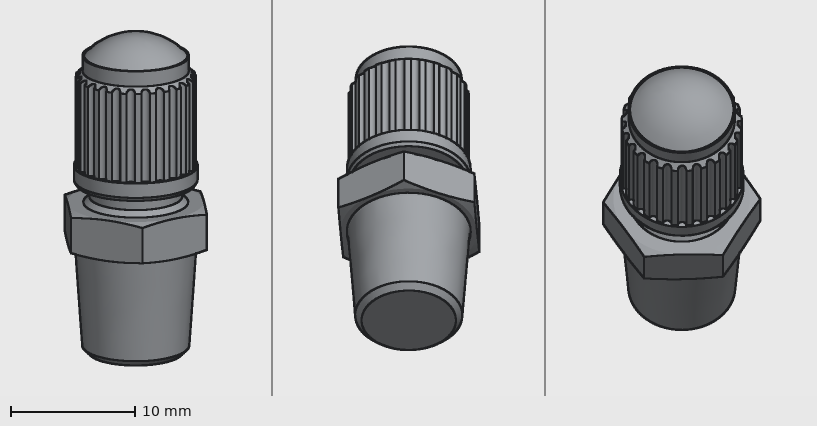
import cadquery as cq
import math

plug_tip_dia = 7.6
plug_bottom_dia = 8.65
plug_chamfer_height = 0.54
plug_top_dia = 9.8
plug_top_z = 8.95

hex_across_flats = 11.0
hex_bottom_z = 9.2
hex_top_z = 12.62
hex_face_dia = hex_across_flats
hex_chamfer_angle = 15.0

under_hex_dia = 10.0

neck_dia = 7.5
neck_base_dia = 8.47
neck_base_top_z = 13.1

cap_bottom_z = 14.2
collar_dia = 10.0
collar_chamfer_height = 0.32
collar_chamfer_width = 0.21
collar_top_z = 15.73

grip_dia = 9.7
grip_shoulder_z = 23.24
grip_top_z = 23.7

crown_dia = 8.58
crown_top_z = 24.98
dome_base_dia = 8.33
overall_height = 26.8

flute_count = 25
flute_radius = 0.35
flute_center_radius = grip_dia / 2


def turn(outline):
    """Solid of revolution of a closed XZ half outline about the Z axis."""
    return outline.revolve(360, (0, 0, 0), (0, 1, 0))


def make_plug():
    """Tapered plug with a chamfered tip and a short cone under the hexagon."""
    outline = (
        cq.Workplane("XZ")
        .moveTo(0, 0)
        .lineTo(plug_tip_dia / 2, 0)
        .lineTo(plug_bottom_dia / 2, plug_chamfer_height)
        .lineTo(plug_top_dia / 2, plug_top_z)
        .lineTo(under_hex_dia / 2, hex_bottom_z)
        .lineTo(0, hex_bottom_z)
        .close()
    )
    return turn(outline)


def make_hexagon():
    """Hexagon with two corners on the Y axis and both ends turned conical."""
    prism = (
        cq.Workplane("XY", origin=(0, 0, hex_bottom_z))
        .polygon(6, hex_across_flats, circumscribed=True)
        .extrude(hex_top_z - hex_bottom_z)
    )
    rim_radius = hex_across_flats
    rim_drop = (rim_radius - hex_face_dia / 2) * math.tan(math.radians(hex_chamfer_angle))
    outline = (
        cq.Workplane("XZ")
        .moveTo(0, hex_bottom_z)
        .lineTo(hex_face_dia / 2, hex_bottom_z)
        .lineTo(rim_radius, hex_bottom_z + rim_drop)
        .lineTo(rim_radius, hex_top_z - rim_drop)
        .lineTo(hex_face_dia / 2, hex_top_z)
        .lineTo(0, hex_top_z)
        .close()
    )
    return prism.intersect(turn(outline))


def make_neck():
    """Round neck on a conical foot, ending against the underside of the cap."""
    outline = (
        cq.Workplane("XZ")
        .moveTo(0, hex_top_z)
        .lineTo(neck_base_dia / 2, hex_top_z)
        .lineTo(neck_dia / 2, neck_base_top_z)
        .lineTo(neck_dia / 2, cap_bottom_z)
        .lineTo(0, cap_bottom_z)
        .close()
    )
    return turn(outline)


def make_fitting():
    """Plug, hexagon and neck joined into one body."""
    return make_plug().union(make_hexagon()).union(make_neck())


def make_cap_blank():
    """Turned cap with a spherical dome, before the flutes are cut."""
    dome_height = overall_height - crown_top_z
    dome_base_radius = dome_base_dia / 2
    dome_radius = (dome_base_radius**2 + dome_height**2) / (2 * dome_height)
    half_angle = math.asin(dome_base_radius / dome_radius) / 2
    dome_middle = (
        dome_radius * math.sin(half_angle),
        overall_height - dome_radius * (1 - math.cos(half_angle)),
    )
    outline = (
        cq.Workplane("XZ")
        .moveTo(0, cap_bottom_z)
        .lineTo(collar_dia / 2 - collar_chamfer_width, cap_bottom_z)
        .lineTo(collar_dia / 2, cap_bottom_z + collar_chamfer_height)
        .lineTo(collar_dia / 2, collar_top_z)
        .lineTo(grip_dia / 2, collar_top_z)
        .lineTo(grip_dia / 2, grip_shoulder_z)
        .lineTo(crown_dia / 2, grip_top_z)
        .lineTo(crown_dia / 2, crown_top_z)
        .lineTo(dome_base_radius, crown_top_z)
        .threePointArc(dome_middle, (0, overall_height))
        .close()
    )
    return turn(outline)


def make_flute_cutters():
    """Round cutters along the grip, the first one on the +Y side."""
    return (
        cq.Workplane("XY", origin=(0, 0, collar_top_z))
        .polarArray(flute_center_radius, 90, 360, flute_count)
        .circle(flute_radius)
        .extrude(grip_top_z - collar_top_z)
    )


def make_cap():
    """Cap with flutes running out through the conical shoulder of the grip."""
    return make_cap_blank().cut(make_flute_cutters())


fitting = make_fitting()
cap = make_cap()

result = cq.Compound.makeCompound([fitting.val(), cap.val()])